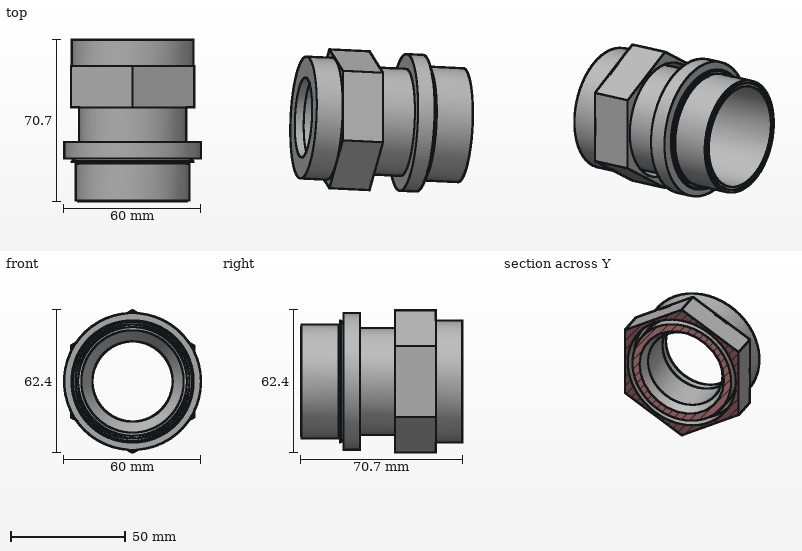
import cadquery as cq
import math

total_length = 70.7

thread_radius = 25.0
core_radius = 23.8
neck_radius = 23.5
bore_radius = 22.4
throat_radius = 17.6
flange_radius = 30.0
tip_step = 0.3
thread_length = 16.2
flange_start = 18.65
flange_thickness = 7.35
cone_start = 42.0
cone_half_angle = 30.0

lip_length = 1.4
lip_radius = 26.75
lip_edge_width = 0.35
lip_edge_bevel = 0.3
lip_web = 0.4
lip_web_radius = 24.7

hex_across_flats = 54.0
hex_start = 41.1
hex_length = 18.0
collar_radius = 26.75
clearance_radius = 25.5
clearance_depth = 12.0
nut_opening_radius = 17.5
nut_wall = 4.0

cone_length = (bore_radius - throat_radius) / math.tan(math.radians(cone_half_angle))
thread_end = tip_step + thread_length
body_length = total_length - nut_wall


def revolve_profile(points):
    """Revolve a closed (radius, axial position) outline about the Y axis."""
    return cq.Workplane("XY").polyline(points).close().revolve(360, (0, 0, 0), (0, 1, 0))


def make_body():
    """Flanged threaded sleeve whose bore narrows to a conical throat inside the nut."""
    flange_end = flange_start + flange_thickness
    return revolve_profile([
        (bore_radius, 0),
        (core_radius, 0),
        (core_radius, tip_step),
        (thread_radius, tip_step),
        (thread_radius, thread_end),
        (core_radius, thread_end),
        (core_radius, flange_start),
        (flange_radius, flange_start),
        (flange_radius, flange_end),
        (neck_radius, flange_end),
        (neck_radius, body_length),
        (throat_radius, body_length),
        (throat_radius, cone_start + cone_length),
        (bore_radius, cone_start),
    ])


def make_lip_ring():
    """Thin ring around the core, its lip flaring at 45 degrees away from the flange."""
    tip = flange_start - lip_length
    edge_radius = lip_radius - lip_edge_width
    return revolve_profile([
        (core_radius, flange_start),
        (lip_radius - lip_length, flange_start),
        (lip_radius, tip),
        (edge_radius, tip),
        (edge_radius - lip_edge_bevel, tip + lip_edge_bevel),
        (lip_web_radius, flange_start - lip_web),
        (core_radius, flange_start - lip_web),
    ])


def make_nut():
    """Hexagon with a round collar, bored to fit the neck, with a clearance recess at its mouth."""
    hex_face = cq.Workplane("XZ", origin=(0, hex_start, 0)).transformed(rotate=(180, 0, 0))
    corner_diameter = hex_across_flats / math.cos(math.pi / 6)
    hexagon = hex_face.transformed(rotate=(0, 0, 30)).polygon(6, corner_diameter).extrude(hex_length)
    nut_length = total_length - hex_start
    collar = hex_face.circle(collar_radius).extrude(nut_length)
    opening = hex_face.circle(nut_opening_radius).extrude(nut_length)
    socket = hex_face.circle(neck_radius).extrude(nut_length - nut_wall)
    recess = hex_face.circle(clearance_radius).extrude(clearance_depth)
    return hexagon.union(collar).cut(opening).cut(socket).cut(recess)


body = make_body()
lip_ring = make_lip_ring()
nut = make_nut()

result = cq.Compound.makeCompound([body.val(), lip_ring.val(), nut.val()])